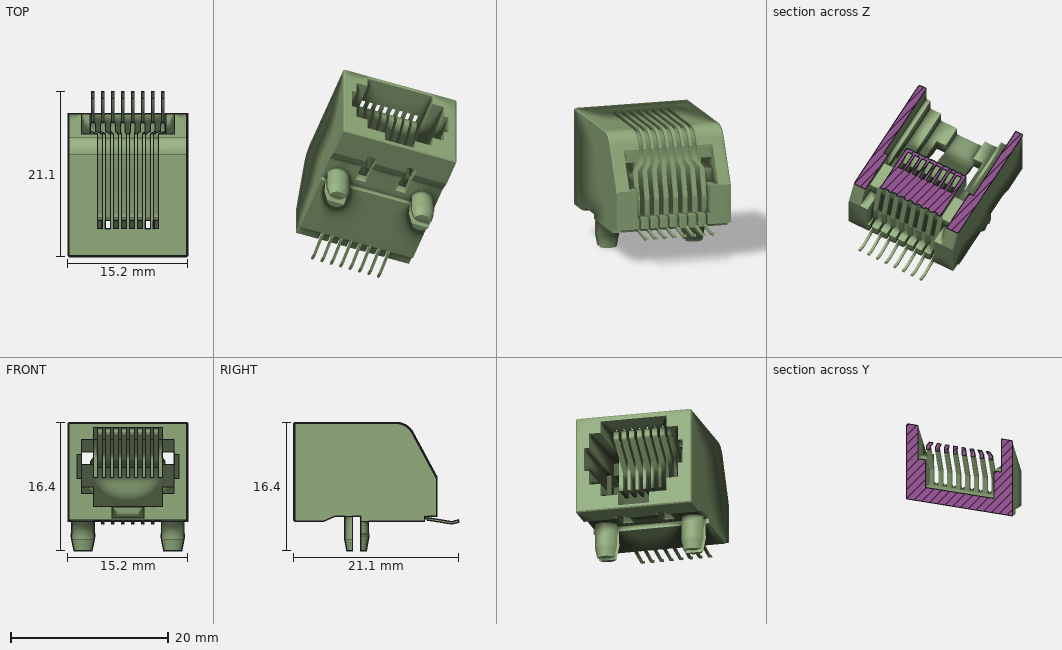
import cadquery as cq
import math

EPS = 0.01

WIDTH = 15.24
DEPTH = 18.22
HEIGHT = 12.60
EDGE_CHAMFER = 0.15
BACK_HEIGHT = 5.69
SLOPE_TOP_Y = 14.50
SLOPE_RADIUS = 2.45
STANDOFF = 0.64
RELIEF_TOE_Y = 3.83
RELIEF_START_Y = 5.30
RELIEF_END_Y = 8.52
HEEL_Y = 16.67

CAVITY_DEPTH = 12.0
BODY_HALF = 5.90
NOSE_HALF = 4.38
BODY_BOTTOM, BODY_TOP = 3.55, 10.42
FLOOR_Z = 1.86
NOTCH_TOP = 11.92
NOTCH_DEPTH = 8.0
SIDE_HALF = 6.50
SIDE_DEPTH = 11.0
SIDE_BOTTOM, SIDE_TOP = 5.45, 8.52
SHOULDER_STEP_Y = 9.0
SHOULDER_STEP_Z = 4.34
WINDOW_BOTTOM, WINDOW_TOP = 7.23, 8.79

LATCH_HALF = 2.02
LATCH_Z = 0.43
RAMP_CREST_Z = 1.82
LATCH_OPENING_HALF = 3.35
LATCH_OPENING_START = 2.95
LATCH_OPENING_END = 7.50

CONTACT_COUNT = 8
CONTACT_PITCH = 1.016
CONTACT_WIDTH = 0.63
CONTACT_THICKNESS = 0.32
CONTACT_SINK = 0.37
CONTACT_FRONT_Y = 4.60
FRONT_BEND_RADIUS = 0.43
NOSE_BEND_Z = 11.26
SPRING_ANGLE = math.radians(35)
SPRING_TIP_Z = 6.87
DROP_ANGLE = math.radians(73)
SLOT_FRONT_Y = 3.60
COMB_FRONT_Y = 9.0
COMB_BOTTOM = 5.60

TAIL_PITCH = 1.27
TAIL_WIDTH = 0.60
LEAD_WIDTH = 0.32
FAN_TOP_Z, FAN_BOTTOM_Z = 8.75, 7.60
LEAD_BACK_Y = 17.04
LEAD_BEND_Z = 0.45
LEAD_BEND_CHAMFER = 0.15
LEAD_KNEE = (20.15, -0.04)
LEAD_TIP = (20.975, 0.20)

RECESS_FRONT_Y = 15.65
RECESS_HALF = 5.92
WELL_HALF = 4.85
WELL_FLOOR = 2.0
LEAD_MOUTH_WIDTH = 0.64
LEAD_MOUTH_DEPTH = 0.08

POST_X = 5.71
POST_Y = 8.02
POST_RADIUS = 1.53
POST_BARB_RADIUS = 1.60
POST_TIP_RADIUS = 1.25
POST_BOTTOM = -3.76
POST_SLIT = 1.0
FRONT_TAPER_Z = -2.34
REAR_BARB_Z = -1.64
REAR_TAPER_Z = -1.87


def box(x0, x1, y0, y1, z0, z1):
    return cq.Workplane("XY").box(x1 - x0, y1 - y0, z1 - z0, centered=False).translate((x0, y0, z0))


def centred_box(half_width, y0, y1, z0, z1):
    return box(-half_width, half_width, y0, y1, z0, z1)


def both_sides(solid):
    return solid.union(solid.mirror("YZ"))


def across(profile, x, width):
    """Extrude a closed YZ profile to the given width, centred on x."""
    return profile.extrude(width / 2, both=True).translate((x, 0, 0))


def side_sketch(points):
    return cq.Workplane("YZ").polyline(points).close()


def row_positions(pitch):
    middle = (CONTACT_COUNT - 1) / 2
    return [(i - middle) * pitch for i in range(CONTACT_COUNT)]


def make_shell():
    outline = side_sketch([
        (0, 0),
        (RELIEF_TOE_Y, 0),
        (RELIEF_START_Y, STANDOFF),
        (RELIEF_END_Y, STANDOFF),
        (RELIEF_END_Y, 0),
        (HEEL_Y, 0),
        (HEEL_Y, STANDOFF),
        (DEPTH, STANDOFF),
        (DEPTH, BACK_HEIGHT),
        (SLOPE_TOP_Y, HEIGHT),
        (0, HEIGHT),
    ])
    shell = across(outline, 0, WIDTH)
    top_rear_edge = cq.selectors.NearestToPointSelector((0, SLOPE_TOP_Y, HEIGHT))
    shell = shell.edges("|X").edges(top_rear_edge).fillet(SLOPE_RADIUS)
    front_edges = shell.faces("<Y").edges()
    half = WIDTH / 2
    upper_sides = [
        cq.selectors.BoxSelector((x - EPS, EPS, BACK_HEIGHT + EPS), (x + EPS, DEPTH, HEIGHT + EPS))
        for x in (-half, half)
    ]
    return front_edges.add(shell.edges(upper_sides[0] + upper_sides[1])).chamfer(EDGE_CHAMFER)


def plug_cavity():
    cavity = centred_box(BODY_HALF, -EPS, CAVITY_DEPTH, BODY_BOTTOM, BODY_TOP)
    cavity = cavity.union(centred_box(NOSE_HALF, -EPS, CAVITY_DEPTH, FLOOR_Z, BODY_TOP))
    cavity = cavity.union(centred_box(NOSE_HALF, -EPS, NOTCH_DEPTH, FLOOR_Z, NOTCH_TOP))
    cavity = cavity.union(centred_box(SIDE_HALF, -EPS, SIDE_DEPTH, SIDE_BOTTOM, SIDE_TOP))
    step = box(NOSE_HALF, BODY_HALF, SHOULDER_STEP_Y, CAVITY_DEPTH, BODY_BOTTOM, SHOULDER_STEP_Z)
    comb = centred_box(NOSE_HALF, COMB_FRONT_Y, CAVITY_DEPTH, COMB_BOTTOM, BODY_TOP)
    window = box(NOSE_HALF, BODY_HALF, CAVITY_DEPTH - EPS, RECESS_FRONT_Y + EPS, WINDOW_BOTTOM, WINDOW_TOP)
    return cavity.cut(both_sides(step)).cut(comb).union(both_sides(window))


def latch_groove():
    """Groove whose floor ramps up towards the cavity floor, with an open gap along each side of the ramp."""
    ramp = side_sketch([
        (-EPS, LATCH_Z),
        (LATCH_OPENING_START, LATCH_Z),
        (LATCH_OPENING_END, RAMP_CREST_Z),
        (LATCH_OPENING_END, FLOOR_Z),
        (-EPS, FLOOR_Z),
    ])
    groove = across(ramp, 0, 2 * LATCH_HALF)
    gap = box(LATCH_HALF, LATCH_OPENING_HALF, LATCH_OPENING_START, LATCH_OPENING_END, -EPS, FLOOR_Z + EPS)
    return groove.union(both_sides(gap))


def rear_recess():
    """Ledge level with the back face, and a deeper well for the contact tails."""
    ledge = centred_box(RECESS_HALF, RECESS_FRONT_Y, DEPTH + EPS, BACK_HEIGHT, HEIGHT)
    well = centred_box(WELL_HALF, RECESS_FRONT_Y, DEPTH + EPS, WELL_FLOOR, HEIGHT)
    recess = ledge.union(well)
    for x in row_positions(TAIL_PITCH):
        half_lead, half_mouth = LEAD_WIDTH / 2, LEAD_MOUTH_WIDTH / 2
        mouth_y = DEPTH - LEAD_MOUTH_DEPTH
        slot = (
            cq.Workplane("XY")
            .polyline([
                (x - half_lead, LEAD_BACK_Y),
                (x + half_lead, LEAD_BACK_Y),
                (x + half_lead, mouth_y),
                (x + half_mouth, DEPTH),
                (x - half_mouth, DEPTH),
                (x - half_lead, mouth_y),
            ])
            .close()
            .extrude(WELL_FLOOR + EPS)
        )
        recess = recess.union(slot)
    return recess


SLOPE_ANGLE = math.atan2(HEIGHT - BACK_HEIGHT, DEPTH - SLOPE_TOP_Y)
REAR_BEND_Y = SLOPE_TOP_Y - SLOPE_RADIUS * math.tan(SLOPE_ANGLE / 2)
REAR_BEND_Z = HEIGHT - SLOPE_RADIUS
REAR_BEND_RADIUS = SLOPE_RADIUS - CONTACT_SINK
CONTACT_TOP = HEIGHT - CONTACT_SINK


def polar(centre_y, centre_z, radius, angle):
    """Point on a circle; the angle runs from +Z towards +Y."""
    return (centre_y + radius * math.sin(angle), centre_z + radius * math.cos(angle))


def rear_bend(radius, fraction):
    return polar(REAR_BEND_Y, REAR_BEND_Z, radius, DROP_ANGLE * fraction)


def drop_z(y):
    """Height of the outer face of the steep rear run."""
    start_y, start_z = rear_bend(REAR_BEND_RADIUS, 1)
    return start_z - (y - start_y) * math.tan(DROP_ANGLE)


def contact_slot(x):
    """Slot above the contact, opening down into the cavity ahead of its back wall."""
    above = (
        cq.Workplane("YZ")
        .moveTo(SLOT_FRONT_Y, CONTACT_TOP)
        .lineTo(REAR_BEND_Y, CONTACT_TOP)
        .threePointArc(rear_bend(REAR_BEND_RADIUS, 0.5), rear_bend(REAR_BEND_RADIUS, 1))
        .lineTo(RECESS_FRONT_Y + EPS, drop_z(RECESS_FRONT_Y + EPS))
        .lineTo(RECESS_FRONT_Y + EPS, HEIGHT + EPS)
        .lineTo(SLOT_FRONT_Y, HEIGHT + EPS)
        .close()
    )
    half = CONTACT_WIDTH / 2
    gap = box(x - half, x + half, SLOT_FRONT_Y, CAVITY_DEPTH, COMB_BOTTOM, CONTACT_TOP + EPS)
    return across(above, x, CONTACT_WIDTH).union(gap)


def contact_spring(x):
    """Top run, front bend and the spring arm reaching back into the comb."""
    outer, inner = FRONT_BEND_RADIUS, FRONT_BEND_RADIUS - CONTACT_THICKNESS
    bend_y = CONTACT_FRONT_Y + outer
    upper_z = CONTACT_TOP - outer
    front = -math.pi / 2
    arm = front - (math.pi / 2 - SPRING_ANGLE)
    middle = (front + arm) / 2

    def upper(radius):
        return polar(bend_y, upper_z, radius, front / 2)

    def lower(radius, angle):
        return polar(bend_y, NOSE_BEND_Z, radius, angle)

    arm_start = lower(outer, arm)
    arm_length = (arm_start[1] - SPRING_TIP_Z) / math.sin(SPRING_ANGLE)
    run, fall = arm_length * math.cos(SPRING_ANGLE), arm_length * math.sin(SPRING_ANGLE)
    arm_inner = lower(inner, arm)
    profile = (
        cq.Workplane("YZ")
        .moveTo(REAR_BEND_Y, CONTACT_TOP)
        .lineTo(bend_y, CONTACT_TOP)
        .threePointArc(upper(outer), (CONTACT_FRONT_Y, upper_z))
        .lineTo(CONTACT_FRONT_Y, NOSE_BEND_Z)
        .threePointArc(lower(outer, middle), arm_start)
        .lineTo(arm_start[0] + run, arm_start[1] - fall)
        .lineTo(arm_inner[0] + run, arm_inner[1] - fall)
        .lineTo(*arm_inner)
        .threePointArc(lower(inner, middle), (bend_y - inner, NOSE_BEND_Z))
        .lineTo(bend_y - inner, upper_z)
        .threePointArc(upper(inner), (bend_y, CONTACT_TOP - CONTACT_THICKNESS))
        .lineTo(REAR_BEND_Y, CONTACT_TOP - CONTACT_THICKNESS)
        .close()
    )
    return across(profile, x, CONTACT_WIDTH)


def contact_tail(slot_x, lead_x):
    """Rear bend, steep run, upright and gull-wing lead, fanned out from slot pitch to lead pitch."""
    inner_radius = REAR_BEND_RADIUS - CONTACT_THICKNESS
    inner_end = rear_bend(inner_radius, 1)
    front_y = LEAD_BACK_Y - CONTACT_THICKNESS
    inner_knee_z = inner_end[1] - (front_y - inner_end[0]) * math.tan(DROP_ANGLE)
    knee_y, knee_z = LEAD_KNEE
    tip_y, tip_z = LEAD_TIP
    tip_angle = math.atan2(tip_z - knee_z, tip_y - knee_y)
    tip_bottom = (
        tip_y + CONTACT_THICKNESS * math.sin(tip_angle),
        tip_z - CONTACT_THICKNESS * math.cos(tip_angle),
    )
    strip = (
        cq.Workplane("YZ")
        .moveTo(REAR_BEND_Y, CONTACT_TOP)
        .threePointArc(rear_bend(REAR_BEND_RADIUS, 0.5), rear_bend(REAR_BEND_RADIUS, 1))
        .lineTo(LEAD_BACK_Y, drop_z(LEAD_BACK_Y))
        .lineTo(LEAD_BACK_Y, LEAD_BEND_Z + LEAD_BEND_CHAMFER)
        .lineTo(LEAD_BACK_Y + LEAD_BEND_CHAMFER, LEAD_BEND_Z)
        .lineTo(knee_y, knee_z)
        .lineTo(tip_y, tip_z)
        .lineTo(*tip_bottom)
        .lineTo(knee_y, knee_z - CONTACT_THICKNESS)
        .lineTo(LEAD_BACK_Y, LEAD_BEND_Z - CONTACT_THICKNESS)
        .lineTo(front_y, LEAD_BEND_Z)
        .lineTo(front_y, inner_knee_z)
        .lineTo(*inner_end)
        .threePointArc(rear_bend(inner_radius, 0.5), rear_bend(inner_radius, 0))
        .close()
    )
    half_slot, half_tail, half_lead = CONTACT_WIDTH / 2, TAIL_WIDTH / 2, LEAD_WIDTH / 2
    outline = (
        cq.Workplane("XZ")
        .polyline([
            (slot_x - half_slot, HEIGHT),
            (slot_x - half_slot, FAN_TOP_Z),
            (lead_x - half_tail, FAN_BOTTOM_Z),
            (lead_x - half_tail, WELL_FLOOR),
            (lead_x - half_lead, WELL_FLOOR),
            (lead_x - half_lead, POST_BOTTOM),
            (lead_x + half_lead, POST_BOTTOM),
            (lead_x + half_lead, WELL_FLOOR),
            (lead_x + half_tail, WELL_FLOOR),
            (lead_x + half_tail, FAN_BOTTOM_Z),
            (slot_x + half_slot, FAN_TOP_Z),
            (slot_x + half_slot, HEIGHT),
        ])
        .close()
        .extrude(-2 * DEPTH)
    )
    return across(strip, 0, WIDTH).intersect(outline)


def revolve_post(radii_and_heights):
    points = [(0, STANDOFF)] + radii_and_heights + [(0, POST_BOTTOM)]
    return cq.Workplane("XZ").polyline(points).close().revolve(360, (0, 0), (0, 1))


def snap_post():
    front = revolve_post([
        (POST_RADIUS, STANDOFF),
        (POST_RADIUS, FRONT_TAPER_Z),
        (POST_TIP_RADIUS, POST_BOTTOM),
    ])
    rear = revolve_post([
        (POST_RADIUS, STANDOFF),
        (POST_RADIUS, REAR_BARB_Z),
        (POST_BARB_RADIUS, REAR_BARB_Z),
        (POST_BARB_RADIUS, REAR_TAPER_Z),
        (POST_TIP_RADIUS, POST_BOTTOM),
    ])
    reach = 2 * POST_RADIUS
    half_slit = POST_SLIT / 2
    front = front.intersect(centred_box(reach, -reach, -half_slit, POST_BOTTOM, STANDOFF))
    rear = rear.intersect(centred_box(reach, half_slit, reach, POST_BOTTOM, STANDOFF))
    return front.union(rear).translate((POST_X, POST_Y, 0))


housing = make_shell().cut(plug_cavity()).cut(latch_groove()).cut(rear_recess())
slot_positions = row_positions(CONTACT_PITCH)
for slot_x in slot_positions:
    housing = housing.cut(contact_slot(slot_x))

result = housing.union(both_sides(snap_post()))
for slot_x, lead_x in zip(slot_positions, row_positions(TAIL_PITCH)):
    result = result.union(contact_spring(slot_x)).union(contact_tail(slot_x, lead_x))